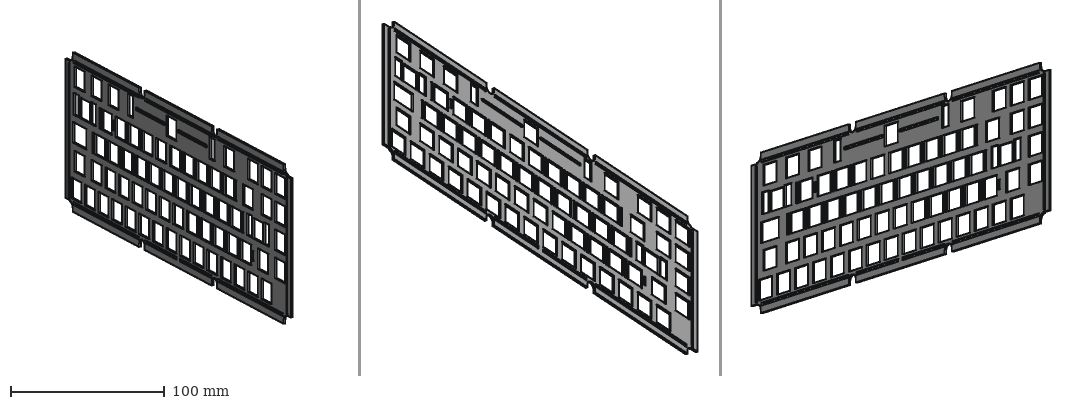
import cadquery as cq

length = 315.8
height = 107.7
thickness = 1.5

first_to_last_column = 285.8
last_column = 15
pitch = first_to_last_column / last_column
web_between_keys = 5.0
key_size = pitch - web_between_keys
stepped_key_width = key_size + pitch / 4

relief_width = 1.5
short_relief_height = 6.5
stabilizer_width = 7.0
stabilizer_height = 14.8
slot_rise = 0.47
narrow_stabilizer_reach = 12.0
wide_stabilizer_reach = 3 * pitch

space_slot_length = 41.0
space_slot_width = 2.0
space_slot_reach = 29.5

fold_slot_width = 2.0
fold_slot_z = 48.0
side_slot_x = 152.5
side_slot_length = 91.5
side_flange_top = 47.0
body_top = 47.7

cutout_radius = 3.8
cutout_center_z = body_top + cutout_radius
notch_x = 50.8
corner_x = 151.5

outer_slot_start = 55.3
outer_slot_end = 146.8
middle_slot_end = 46.5
bottom_bridge_half_width = 2.37

top_row, second_row, middle_row, fourth_row, bottom_row = 2, 1, 0, -1, -2
space_column = 7
second_row_wide_key = 0.625
middle_row_wide_key = 13.375
stepped_key_column = 0.25

key_columns = {
    top_row: [0.25, 1.5, 2.75, space_column, 11.25, 13, 14, last_column],
    second_row: [second_row_wide_key] + [2.25 + i for i in range(10)] + [12.625, 14, last_column],
    middle_row: [1.75 + i for i in range(11)] + [middle_row_wide_key, last_column],
    fourth_row: [0.25] + [1.5 + i for i in range(12)] + [13.75, last_column],
    bottom_row: list(range(last_column)),
}
relief_columns = {
    second_row: [1.75, 3.75, 4.75] + [7.75 + i for i in range(5)],
    middle_row: [1.25 + i for i in range(12)],
    fourth_row: [9, 10, 11, 12],
}
short_reliefs = [(2.75, second_row), (13, fourth_row)]
stabilized_keys = [
    (space_column, top_row, wide_stabilizer_reach),
    (second_row_wide_key, second_row, narrow_stabilizer_reach),
    (middle_row_wide_key, middle_row, narrow_stabilizer_reach),
]


def grid_point(column, row):
    return ((column - last_column / 2) * pitch, row * pitch)


def extrude(sketch):
    """Extrude an XZ sketch by the plate thickness, centred on Y = 0."""
    return sketch.extrude(thickness / 2, both=True)


def rectangles(points, width, tall):
    return extrude(cq.Workplane("XZ").pushPoints(points).rect(width, tall))


def quarter_plate():
    """Upper right quarter of the rim outline, filled down to both centre lines."""
    profile = (
        cq.Workplane("XZ")
        .lineTo(0, height / 2)
        .lineTo(notch_x - cutout_radius, height / 2)
        .lineTo(notch_x - cutout_radius, cutout_center_z)
        .threePointArc((notch_x, body_top), (notch_x + cutout_radius, cutout_center_z))
        .lineTo(notch_x + cutout_radius, height / 2)
        .lineTo(corner_x - cutout_radius, height / 2)
        .lineTo(corner_x - cutout_radius, cutout_center_z)
        .radiusArc((corner_x, body_top), -cutout_radius)
        .lineTo(corner_x, side_flange_top)
        .lineTo(length / 2, side_flange_top)
        .lineTo(length / 2, 0)
        .close()
    )
    return extrude(profile)


def plate():
    upper_right = quarter_plate()
    upper = upper_right.union(upper_right.mirror("YZ"))
    return upper.union(upper.mirror("XY"))


def fold_slot(start, end, z):
    return rectangles([((start + end) / 2, z)], end - start, fold_slot_width)


def fold_slots():
    side_points = [(-side_slot_x, 0), (side_slot_x, 0)]
    slots = extrude(
        cq.Workplane("XZ").pushPoints(side_points).slot2D(side_slot_length, fold_slot_width, 90)
    )
    right = fold_slot(outer_slot_start, outer_slot_end, fold_slot_z)
    right = right.union(fold_slot(outer_slot_start, outer_slot_end, -fold_slot_z))
    right = right.union(fold_slot(bottom_bridge_half_width, middle_slot_end, -fold_slot_z))
    top_middle = fold_slot(-middle_slot_end, middle_slot_end, fold_slot_z)
    return slots.union(right).union(right.mirror("YZ")).union(top_middle)


def key_openings():
    points = [grid_point(column, row) for row, columns in key_columns.items() for column in columns]
    stepped_key = rectangles([grid_point(stepped_key_column, middle_row)], stepped_key_width, key_size)
    return rectangles(points, key_size, key_size).union(stepped_key)


def relief_slots():
    long_points = [grid_point(column, row) for row, columns in relief_columns.items() for column in columns]
    short_points = [grid_point(column, row) for column, row in short_reliefs]
    long_slots = rectangles(long_points, relief_width, key_size)
    return long_slots.union(rectangles(short_points, relief_width, short_relief_height))


def stabilizer_slots():
    points = []
    for column, row, reach in stabilized_keys:
        x, z = grid_point(column, row)
        points += [(x + side * reach, z + slot_rise) for side in (-1, 1)]
    return rectangles(points, stabilizer_width, stabilizer_height)


def space_slots():
    x, z = grid_point(space_column, top_row)
    points = [(x + side * space_slot_reach, z + slot_rise) for side in (-1, 1)]
    return extrude(cq.Workplane("XZ").pushPoints(points).slot2D(space_slot_length, space_slot_width))


result = (
    plate()
    .cut(fold_slots())
    .cut(key_openings())
    .cut(relief_slots())
    .cut(stabilizer_slots())
    .cut(space_slots())
)